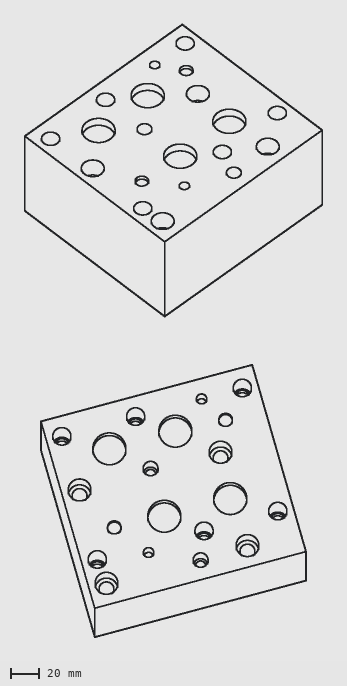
import cadquery as cq
import math

LENGTH_X = 139.8
LENGTH_Y = 152.4
HEIGHT = 76.2
DRILL_POINT_ANGLE = 118.0

TAP_LEFT_X = 14.3
TAP_RIGHT_X = 106.4
TAP_FRONT_Y = 11.1
TAP_BACK_Y = 141.3
TAP_TO_MIDDLE_ROW = 53.2
THREAD_DIAMETER = 12.6
TAP_DRILL_DIAMETER = 10.7
THREAD_DEPTH = 25.5
TAP_DRILL_DEPTH = 31.7

FRONT_MIDDLE_Y = TAP_FRONT_Y + TAP_TO_MIDDLE_ROW
BACK_MIDDLE_Y = TAP_BACK_Y - TAP_TO_MIDDLE_ROW
TAP_TO_PORT_ROW = 29.4
FRONT_PORT_Y = TAP_FRONT_Y + TAP_TO_PORT_ROW
BACK_PORT_Y = TAP_BACK_Y - TAP_TO_PORT_ROW

TAP_TO_PORT_COLUMN = 17.5
PORT_LEFT_X = TAP_LEFT_X + TAP_TO_PORT_COLUMN
PORT_RIGHT_X = TAP_RIGHT_X - TAP_TO_PORT_COLUMN
PORT_DIAMETER = 23.0
PORT_DEPTH = 7.0

PILOT_CENTERS = [(33.4, 123.9), (87.3, 28.7)]
PILOT_DIAMETER = 9.5
PILOT_DEPTH = 3.0

PIN_CENTERS = [(TAP_LEFT_X, BACK_PORT_Y), (111.1, 46.8)]
PIN_DIAMETER = 7.2
PIN_DEPTH = 12.6

BOLT_FRONT_LEFT = (54.9, 12.6)
BOLT_SPACING_X = 69.8
BOLT_SPACING_Y = 101.7
BOLT_DIAMETER = 10.4
BOLT_HEAD_DIAMETER = 15.8
BOLT_HEAD_DEPTH = 15.2

STEPPED_CENTERS = [(53.2, FRONT_MIDDLE_Y), (126.0, 80.2)]
STEPPED_DIAMETER = 7.2
STEPPED_TOP_DIAMETER = 10.4
STEPPED_TOP_DEPTH = 15.2


def cylinder_from_top(diameter, depth):
    """Flat-bottomed cutter hanging down from the top face level."""
    return cq.Workplane("XY", origin=(0, 0, HEIGHT)).circle(diameter / 2).extrude(-depth)


def drilled_hole(diameter, depth):
    """Cutter with a full-diameter depth followed by a conical drill point."""
    radius = diameter / 2
    point_depth = radius / math.tan(math.radians(DRILL_POINT_ANGLE / 2))
    profile = (
        cq.Workplane("XZ")
        .moveTo(0, HEIGHT)
        .lineTo(radius, HEIGHT)
        .lineTo(radius, HEIGHT - depth)
        .lineTo(0, HEIGHT - depth - point_depth)
        .close()
    )
    return profile.revolve(360, (0, 0, 0), (0, 1, 0))


def tapped_hole():
    drill = drilled_hole(TAP_DRILL_DIAMETER, TAP_DRILL_DEPTH)
    return drill.union(cylinder_from_top(THREAD_DIAMETER, THREAD_DEPTH))


def counterbored_hole(diameter, head_diameter, head_depth):
    through = cylinder_from_top(diameter, HEIGHT)
    return through.union(cylinder_from_top(head_diameter, head_depth))


def cut_at(body, cutter, centers):
    """Remove a copy of the cutter from the body at every center."""
    for x, y in centers:
        body = body.cut(cutter.translate((x, y, 0)))
    return body


tap_centers = [
    (TAP_LEFT_X, TAP_FRONT_Y),
    (TAP_LEFT_X, FRONT_MIDDLE_Y),
    (TAP_LEFT_X, TAP_BACK_Y),
    (TAP_RIGHT_X, TAP_FRONT_Y),
    (TAP_RIGHT_X, BACK_MIDDLE_Y),
    (TAP_RIGHT_X, TAP_BACK_Y),
]
port_centers = [
    (PORT_LEFT_X, FRONT_PORT_Y),
    (PORT_LEFT_X, BACK_MIDDLE_Y),
    (PORT_RIGHT_X, FRONT_MIDDLE_Y),
    (PORT_RIGHT_X, BACK_PORT_Y),
]
bolt_centers = [
    (BOLT_FRONT_LEFT[0] + column * BOLT_SPACING_X, BOLT_FRONT_LEFT[1] + row * BOLT_SPACING_Y)
    for column in range(2)
    for row in range(2)
]
bolt_hole = counterbored_hole(BOLT_DIAMETER, BOLT_HEAD_DIAMETER, BOLT_HEAD_DEPTH)
stepped_hole = counterbored_hole(STEPPED_DIAMETER, STEPPED_TOP_DIAMETER, STEPPED_TOP_DEPTH)

block = cq.Workplane("XY").box(LENGTH_X, LENGTH_Y, HEIGHT, centered=False)
block = cut_at(block, tapped_hole(), tap_centers)
block = cut_at(block, drilled_hole(PORT_DIAMETER, PORT_DEPTH), port_centers)
block = cut_at(block, drilled_hole(PILOT_DIAMETER, PILOT_DEPTH), PILOT_CENTERS)
block = cut_at(block, drilled_hole(PIN_DIAMETER, PIN_DEPTH), PIN_CENTERS)
block = cut_at(block, bolt_hole, bolt_centers)
result = cut_at(block, stepped_hole, STEPPED_CENTERS)